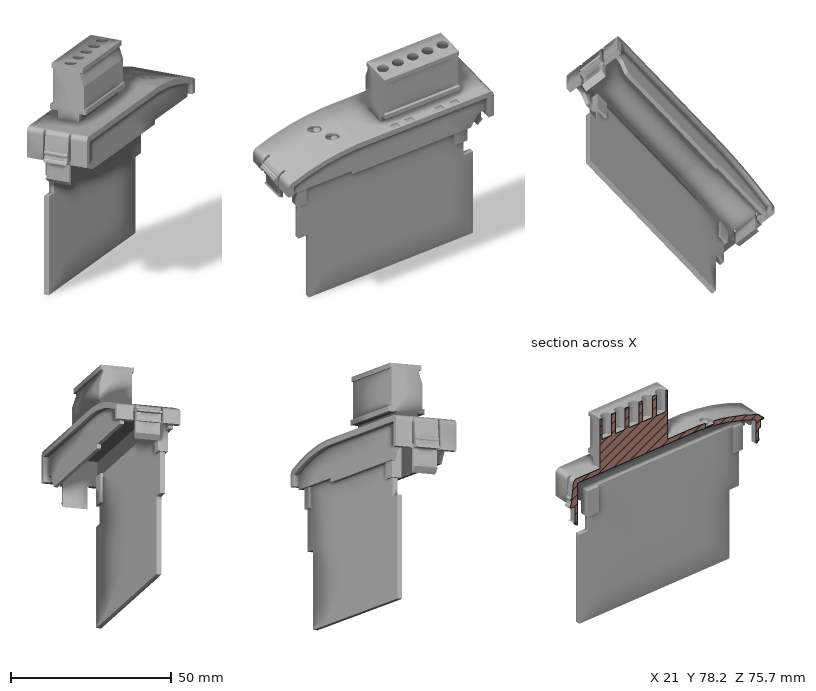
import cadquery as cq


cover_width = 21.0
wall = 1.95
roof_z = 57.4
wall_y = 37.7
front_bottom_z = 47.3
back_bottom_z = 46.6
corner_radius = 1.65
slope_start_y = 12.2
slope_mid = (28.55, 54.8)
slope_end = (36.4, 52.0)
back_corner_mid = (37.3, 51.3)
back_corner_z = 50.2

left_panel_x = -8.6
right_panel_x = 8.85
panel_thickness = 1.3
panel_bottom_z = 44.2
panel_step_z = 45.6
panel_step_y = 12.9
panel_front_y = -30.5
relief_z = 49.0
relief_arc_start = (-32.55, 47.8)
relief_arc_mid = (-33.25, 48.65)
relief_arc_end_y = -34.35

clip_width = 8.05
clip_tip_y = 39.1
notch_width = 0.85
front_notch_y = -36.45
back_notch_y = 35.35
leg_thickness = 1.2
back_leg_bottom_z = 41.3
back_barb_z = 42.6
front_leg_bottom_z = 39.7
front_barb_z = 41.5
leg_fillet = 0.6

board_x = -7.3
board_thickness = 1.65
board_top_z = 48.5
board_lower_y = (-32.1, 28.3)
board_upper_y = (-28.55, 32.15)
board_front_step_z = 33.0
board_back_step_z = 25.4
post_x = -8.0
post_width = 3.3
post_bottom_z = 38.95
post_spans = [(-29.6, -24.95), (29.5, 32.85)]

block_back_y = 0.5
block_length = 27.4
block_top_z = 75.7
cap_bottom_z = 74.2
flange_z = (60.3, 61.95)
neck_x = (-5.1, 2.3)
flange_x = (-7.8, 4.7)
body_x = (-6.8, 4.0)
cap_x = (-7.35, 3.5)
taper_top = (2.65, 73.5)
taper_bottom_z = 69.6
pole_count = 5
pole_pitch = 5.5
pole_x = -1.95
pole_diameter = 3.75
pole_depth = 7.8
block_centre_y = block_back_y - block_length / 2

window_x = (-10.0, -7.9)
window_length = 2.65
window_depth = 0.4
window_poles = [-2, -1, 1, 2]

lamp_places = [(-3.4, 16.35), (3.0, 18.9)]
lamp_diameter = 2.3
lamp_top_z = 56.6
pocket_width = 3.0
pocket_reach = 1.5
pocket_angle = 47.0
pocket_floor_z = 55.6


def box(x_span, y_span, z_span):
    size = [span[1] - span[0] for span in (x_span, y_span, z_span)]
    corner = (x_span[0], y_span[0], z_span[0])
    return cq.Workplane("XY").box(*size, centered=False).translate(corner)


def side_prism(outline, x_start, width):
    """Extrude a closed Y-Z outline along +X."""
    return outline.extrude(width).translate((x_start, 0, 0))


def side_polygon(points):
    return cq.Workplane("YZ").polyline(points).close()


def cover_outline(drop=0.0):
    """Outer Y-Z outline of the cover, with its lower edge moved down by drop."""
    arc_inset = corner_radius * (1 - 0.5 ** 0.5)
    return (
        cq.Workplane("YZ")
        .moveTo(-wall_y, front_bottom_z - drop)
        .lineTo(-wall_y, roof_z - corner_radius)
        .threePointArc(
            (-wall_y + arc_inset, roof_z - arc_inset),
            (-wall_y + corner_radius, roof_z),
        )
        .lineTo(slope_start_y, roof_z)
        .threePointArc(slope_mid, slope_end)
        .threePointArc(back_corner_mid, (wall_y, back_corner_z))
        .lineTo(wall_y, back_bottom_z - drop)
        .close()
    )


def cover_shell():
    outer = side_prism(cover_outline(), -cover_width / 2, cover_width)
    hollow = side_prism(cover_outline(2 * wall).offset2D(-wall), -cover_width / 2, cover_width)
    return outer.cut(hollow)


def side_panels():
    blank = (
        cq.Workplane("YZ")
        .moveTo(-wall_y + wall / 2, roof_z)
        .lineTo(-wall_y + wall / 2, relief_z)
        .lineTo(relief_arc_end_y, relief_z)
        .threePointArc(relief_arc_mid, relief_arc_start)
        .lineTo(panel_front_y, panel_bottom_z)
        .lineTo(panel_step_y, panel_bottom_z)
        .lineTo(panel_step_y, panel_step_z)
        .lineTo(wall_y - wall, panel_step_z)
        .lineTo(wall_y - wall, roof_z)
        .close()
        .extrude(panel_thickness)
    )
    under_roof = cover_outline(2 * wall).extrude(panel_thickness)
    panel = blank.intersect(under_roof)
    left = panel.translate((left_panel_x, 0, 0))
    right = panel.translate((right_panel_x - panel_thickness, 0, 0))
    return left.union(right)


def clip_notches():
    """Slots through both ends of the cover, one on each side of each clip."""
    z_span = (panel_bottom_z - wall, roof_z + wall)
    notches = cq.Workplane("XY")
    for x_start in (-clip_width / 2 - notch_width, clip_width / 2):
        x_span = (x_start, x_start + notch_width)
        notches = notches.union(box(x_span, (-wall_y - wall, front_notch_y), z_span))
        notches = notches.union(box(x_span, (back_notch_y, wall_y + wall), z_span))
    return notches


def front_clip():
    """Tapered thumb tab with two grip ridges, and the barbed leg below it."""
    inner_y = -wall_y + wall
    tab = (
        cq.Workplane("YZ")
        .moveTo(-wall_y + wall / 2, roof_z - corner_radius)
        .lineTo(-wall_y, roof_z - corner_radius)
        .lineTo(-38.25, 50.9)
        .threePointArc((-38.65, 50.45), (-38.4, 49.75))
        .lineTo(-38.4, 49.3)
        .lineTo(-38.6, 48.8)
        .lineTo(-38.6, 48.6)
        .threePointArc((-38.95, 48.0), (-clip_tip_y, front_bottom_z))
        .lineTo(-wall_y + wall / 2, front_bottom_z)
        .close()
    )
    outer_y = inner_y - leg_thickness
    arc_inset = leg_fillet * (1 - 0.5 ** 0.5)
    leg = (
        cq.Workplane("YZ")
        .moveTo(inner_y, front_bottom_z)
        .lineTo(inner_y, front_leg_bottom_z)
        .lineTo(-wall_y, front_barb_z)
        .lineTo(outer_y, front_barb_z)
        .lineTo(outer_y, front_bottom_z - leg_fillet)
        .threePointArc(
            (outer_y - arc_inset, front_bottom_z - arc_inset),
            (outer_y - leg_fillet, front_bottom_z),
        )
        .close()
    )
    return [tab, leg]


def back_clip():
    """Stepped catch near the top of the back wall, and the barbed leg below the wall."""
    inner_y = wall_y - wall
    catch = side_polygon([
        (36.8, 49.4),
        (36.8, 51.1),
        (37.8, 51.1),
        (37.95, 50.6),
        (38.5, 50.3),
        (38.5, 50.0),
        (clip_tip_y, 50.0),
        (clip_tip_y, 49.4),
    ])
    outer_y = inner_y + leg_thickness
    leg = side_polygon([
        (inner_y, back_bottom_z + wall),
        (inner_y, back_leg_bottom_z),
        (wall_y, back_barb_z),
        (outer_y, back_barb_z),
        (outer_y, back_bottom_z + wall),
    ])
    return [catch, leg]


def clips():
    solids = cq.Workplane("XY")
    for outline in front_clip() + back_clip():
        solids = solids.union(side_prism(outline, -clip_width / 2, clip_width))
    return solids


def circuit_board():
    outline = side_polygon([
        (board_lower_y[0], 0),
        (board_lower_y[1], 0),
        (board_lower_y[1], board_back_step_z),
        (board_upper_y[1], board_back_step_z),
        (board_upper_y[1], board_top_z),
        (board_upper_y[0], board_top_z),
        (board_upper_y[0], board_front_step_z),
        (board_lower_y[0], board_front_step_z),
    ])
    board = side_prism(outline, board_x, board_thickness)
    for y_span in post_spans:
        board = board.union(box((post_x, post_x + post_width), y_span, (post_bottom_z, board_top_z)))
    return board


def terminal_block():
    block = (
        cq.Workplane("XZ", origin=(0, block_back_y, 0))
        .polyline([
            (neck_x[0], roof_z - wall),
            (neck_x[0], flange_z[0]),
            (flange_x[0], flange_z[0]),
            (flange_x[0], flange_z[1]),
            (body_x[0], flange_z[1]),
            (body_x[0], cap_bottom_z),
            (cap_x[0], cap_bottom_z),
            (cap_x[0], block_top_z),
            (cap_x[1], block_top_z),
            (cap_x[1], cap_bottom_z),
            (taper_top[0], cap_bottom_z),
            taper_top,
            (body_x[1], taper_bottom_z),
            (body_x[1], flange_z[1]),
            (flange_x[1], flange_z[1]),
            (flange_x[1], flange_z[0]),
            (neck_x[1], flange_z[0]),
            (neck_x[1], roof_z - wall),
        ])
        .close()
        .extrude(block_length)
    )
    poles = (
        cq.Workplane("XY", origin=(pole_x, block_centre_y, block_top_z))
        .rarray(0.8, pole_pitch, 1, pole_count)
        .circle(pole_diameter / 2)
        .extrude(-pole_depth)
    )
    return block.cut(poles)


def windows():
    recesses = cq.Workplane("XY")
    for pole in window_poles:
        y_start = block_centre_y + pole * pole_pitch - window_length / 2
        y_span = (y_start, y_start + window_length)
        recesses = recesses.union(box(window_x, y_span, (roof_z - window_depth, roof_z)))
    return recesses


def lamp_pocket(x, y):
    """Slanted slot whose lower-left end arc surrounds the lamp."""
    slot = (
        cq.Workplane("XY")
        .center(pocket_reach / 2, 0)
        .slot2D(pocket_reach + pocket_width, pocket_width)
        .extrude(wall)
    )
    return slot.rotate((0, 0, 0), (0, 0, 1), pocket_angle).translate((x, y, pocket_floor_z))


def lamp(x, y):
    cylinder = cq.Workplane("XY").circle(lamp_diameter / 2).extrude(lamp_top_z - pocket_floor_z)
    return cylinder.translate((x, y, pocket_floor_z))


result = cover_shell().cut(clip_notches())
for piece in (side_panels(), clips(), circuit_board()):
    result = result.union(piece)
for lamp_x, lamp_y in lamp_places:
    result = result.cut(lamp_pocket(lamp_x, lamp_y))
    result = result.union(lamp(lamp_x, lamp_y))
result = result.cut(windows()).union(terminal_block())